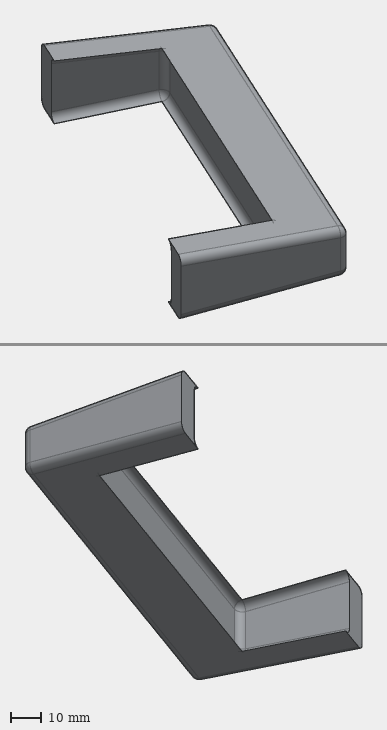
import cadquery as cq

length = 140.0
depth = 60.0
height = 25.0
leg_thickness = 10.0
grip_thickness = 20.0
draft_angle = 3.0
edge_radius = 3.0

opening_length = length - 2 * leg_thickness
opening_depth = depth - grip_thickness


def drafted_block(block_length, block_depth):
    """Block narrowing from Y = 0 towards +Y, rounded except around its front face."""
    block = (
        cq.Workplane("XZ")
        .rect(block_length, height)
        .extrude(-block_depth, taper=draft_angle)
    )
    return block.edges("not <Y").fillet(edge_radius)


body = drafted_block(length, depth)

hand_opening = drafted_block(opening_length, opening_depth)

result = body.cut(hand_opening)